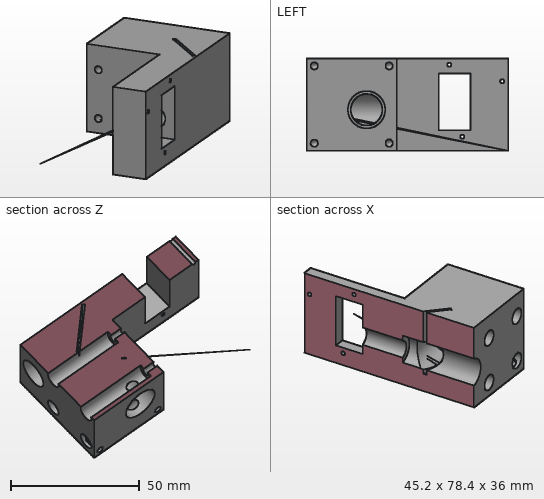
import cadquery as cq
import math

length = 78.4
width = 45.2
height = 36.0
arm_thickness = 14.0
block_depth = 35.0

block_width = width - arm_thickness
block_front = length - block_depth
over = 0.8

axis_x = 37.15
axis_y = 55.1
axis_z = 16.0
bore_diameter = 12.2
entry_diameter = 14.5
entry_depth = 20.0
outlet_diameter = 8.0
outlet_start = 45.45

window_front = 14.7
window_width = 12.2
window_bottom = 8.1
window_height = 21.95
pilot_diameter = 1.5
pilot_places = [(23.0, 33.5), (2.4, 27.05), (17.95, 5.5)]

corner_diameter = 2.8
corner_depth = 10.0
corner_inset = 3.0
drill_tip_angle = 118.0

mount_diameter = 3.0
mount_head_diameter = 6.5
mount_first_x = 5.0
mount_first_z = 6.0
mount_spacing = 20.0
mount_seat_length = 5.0

slot_length = 21.9
slot_thickness = 1.1
slot_depth = 28.0
slot_center = (36.1, 55.3)
slot_angle = -45.0


def rod_x(diameter, start, end, y, z):
    """Cylinder along X between two X positions."""
    return cq.Workplane("YZ", origin=(start, y, z)).circle(diameter / 2).extrude(end - start)


def rod_y(diameter, start, end, x, z):
    """Cylinder along Y between two Y positions."""
    return cq.Workplane("XZ", origin=(x, start, z)).circle(diameter / 2).extrude(start - end)


def body():
    """L-shaped block: a deep block at the back with an arm running forward."""
    outline = [
        (block_width, 0),
        (width, 0),
        (width, length),
        (0, length),
        (0, block_front),
        (block_width, block_front),
    ]
    return cq.Workplane("XY").polyline(outline).close().extrude(height)


def bores():
    """Stepped X bore, the Y bore it meets, and the outlet into the window."""
    entry = rod_x(entry_diameter, -over, entry_depth, axis_y, axis_z)
    along_x = rod_x(bore_diameter, -over, axis_x, axis_y, axis_z)
    along_y = rod_y(bore_diameter, outlet_start, length + over, axis_x, axis_z)
    outlet = rod_y(outlet_diameter, window_front + window_width / 2, axis_y, axis_x, axis_z)
    return entry.union(along_x).union(along_y).union(outlet)


def window():
    """Rectangular opening that passes through the arm along X."""
    cutter = cq.Workplane("XY").box(
        arm_thickness + 2 * over, window_width, window_height, centered=False
    )
    return cutter.translate((block_width - over, window_front, window_bottom))


def corner_hole(y, z):
    """Blind hole with a conical drill tip, entering from the -X face."""
    radius = corner_diameter / 2
    tip_length = radius / math.tan(math.radians(drill_tip_angle / 2))
    profile = [
        (-over, 0),
        (-over, radius),
        (corner_depth, radius),
        (corner_depth + tip_length, 0),
    ]
    hole = cq.Workplane("XY").polyline(profile).close().revolve(360, (0, 0), (1, 0))
    return hole.translate((0, y, z))


def mount_hole(x, z):
    """Through hole along Y with its screw head sunk from the +Y face."""
    shank = rod_y(mount_diameter, block_front - over, length + over, x, z)
    head = rod_y(mount_head_diameter, block_front + mount_seat_length, length + over, x, z)
    return shank.union(head)


def slot():
    """Thin slot standing at 45 degrees across the meeting point of the bores."""
    cutter = cq.Workplane("XY").box(
        slot_length, slot_thickness, slot_depth + over, centered=(True, True, False)
    )
    cutter = cutter.rotate((0, 0, 0), (0, 0, 1), slot_angle)
    return cutter.translate((*slot_center, height - slot_depth))


result = body().cut(bores()).cut(window()).cut(slot())

for pilot_y, pilot_z in pilot_places:
    result = result.cut(rod_x(pilot_diameter, block_width - over, width + over, pilot_y, pilot_z))

for corner_y in (block_front + corner_inset, length - corner_inset):
    for corner_z in (corner_inset, height - corner_inset):
        result = result.cut(corner_hole(corner_y, corner_z))

for mount_x in (mount_first_x, mount_first_x + mount_spacing):
    for mount_z in (mount_first_z, mount_first_z + mount_spacing):
        result = result.cut(mount_hole(mount_x, mount_z))